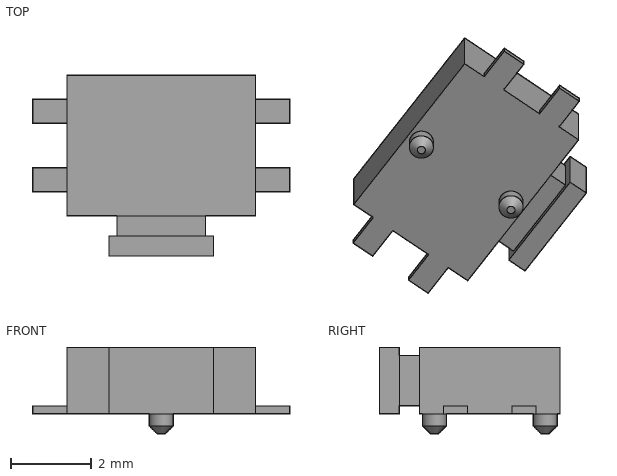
import cadquery as cq

overall_width = 6.4
overall_depth = 4.5

body_width = 4.7
body_depth = 3.5
body_height = 1.65

button_travel = overall_depth - body_depth
cap_width = 2.6
cap_thickness = button_travel / 2
neck_inset = 0.2
neck_width = cap_width - 2 * neck_inset
neck_height = body_height - 2 * neck_inset

lead_width = 0.6
lead_thickness = 0.2
lead_offset = 0.85

peg_diameter = 0.6
peg_straight_length = 0.3
peg_taper_length = 0.2
peg_tip_diameter = 0.2
peg_offset = 1.375


def block(width, depth, height, center_y, bottom_z):
    """Box centred in X, placed by its Y centre and its underside."""
    return (
        cq.Workplane("XY")
        .box(width, depth, height, centered=(True, True, False))
        .translate((0, center_y, bottom_z))
    )


def button():
    front_y = body_depth / 2 + button_travel
    neck_length = button_travel - cap_thickness
    neck = block(neck_width, neck_length, neck_height, -(body_depth + neck_length) / 2, neck_inset)
    cap = block(cap_width, cap_thickness, body_height, -front_y + cap_thickness / 2, 0)
    return neck.union(cap)


def peg(center_y):
    peg_length = peg_straight_length + peg_taper_length
    profile = [
        (0, 0),
        (peg_diameter / 2, 0),
        (peg_diameter / 2, -peg_straight_length),
        (peg_tip_diameter / 2, -peg_length),
        (0, -peg_length),
    ]
    return (
        cq.Workplane("XZ")
        .polyline(profile)
        .close()
        .revolve(360, (0, 0), (0, 1))
        .translate((0, center_y, 0))
    )


result = block(body_width, body_depth, body_height, 0, 0).union(button())

for side in (-1, 1):
    result = result.union(block(overall_width, lead_width, lead_thickness, side * lead_offset, 0))
    result = result.union(peg(side * peg_offset))